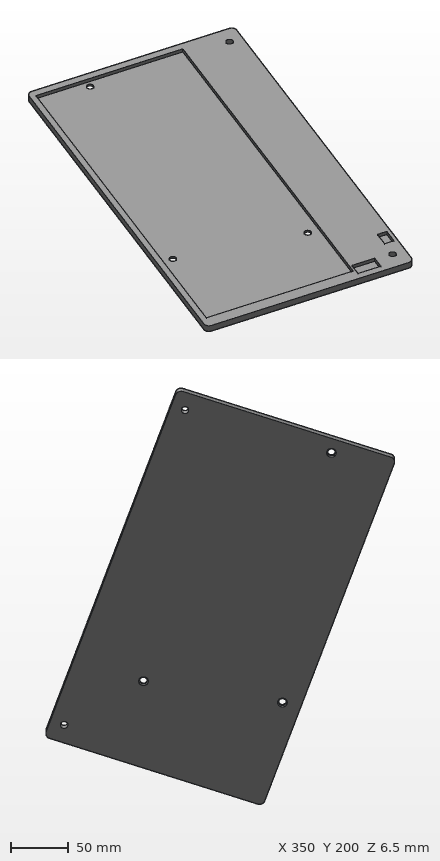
import cadquery as cq

PLATE_LENGTH = 350.0
PLATE_WIDTH = 200.0
PLATE_THICKNESS = 6.5
CORNER_RADIUS = 5.0

POCKET_DEPTH = 3.5
RECESS_LEFT_RIM = 6.9
RECESS_RIGHT_RIM = 11.1
RECESS_FRONT_RIM = 5.5
RECESS_BACK_RIM = 53.0

BACK_POCKET_SIZE = (14.0, 9.0)
BACK_POCKET_CENTRE = (136.25, 92.0)
SIDE_POCKET_SIZE = (12.0, 22.0)
SIDE_POCKET_CENTRE = (162.75, 60.25)

HOLE_DIAMETER = 6.4
HOLE_CHAMFER = 1.0
CORNER_HOLE_X = 158.75
CORNER_HOLE_Y = 87.5
CORNER_HOLE_CENTRES = [
    (-CORNER_HOLE_X, CORNER_HOLE_Y),
    (CORNER_HOLE_X, CORNER_HOLE_Y),
]
RECESS_HOLE_CENTRES = [
    (96.75, 36.5),
    (-162.0, -45.25),
    (76.5, -83.5),
]


def make_plate():
    """Flat plate with rounded vertical corners."""
    plate = cq.Workplane("XY").box(
        PLATE_LENGTH, PLATE_WIDTH, PLATE_THICKNESS, centered=(True, True, False)
    )
    return plate.edges("|Z").fillet(CORNER_RADIUS)


def make_pocket(size, centre):
    """Rectangular cutter reaching down from the top face."""
    return (
        cq.Workplane("XY", origin=(0, 0, PLATE_THICKNESS))
        .center(*centre)
        .rect(*size)
        .extrude(-POCKET_DEPTH)
    )


def make_recess():
    """Cutter for the main recess."""
    size = (
        PLATE_LENGTH - RECESS_LEFT_RIM - RECESS_RIGHT_RIM,
        PLATE_WIDTH - RECESS_FRONT_RIM - RECESS_BACK_RIM,
    )
    centre = (
        (RECESS_LEFT_RIM - RECESS_RIGHT_RIM) / 2,
        (RECESS_FRONT_RIM - RECESS_BACK_RIM) / 2,
    )
    return make_pocket(size, centre)


def make_holes(centres):
    """Cutters for through holes at the given centres."""
    return (
        cq.Workplane("XY")
        .pushPoints(centres)
        .circle(HOLE_DIAMETER / 2)
        .extrude(PLATE_THICKNESS)
    )


def make_chamfered_holes(centres):
    """Through-hole cutters widened by a 45 degree chamfer at the underside."""
    cutters = make_holes(centres)
    hole_radius = HOLE_DIAMETER / 2
    cone = cq.Solid.makeCone(hole_radius + HOLE_CHAMFER, hole_radius, HOLE_CHAMFER)
    for x, y in centres:
        cutters = cutters.union(cq.Workplane(cone.translate(cq.Vector(x, y, 0))))
    return cutters


result = (
    make_plate()
    .cut(make_recess())
    .cut(make_pocket(BACK_POCKET_SIZE, BACK_POCKET_CENTRE))
    .cut(make_pocket(SIDE_POCKET_SIZE, SIDE_POCKET_CENTRE))
    .cut(make_holes(CORNER_HOLE_CENTRES))
    .cut(make_chamfered_holes(RECESS_HOLE_CENTRES))
)